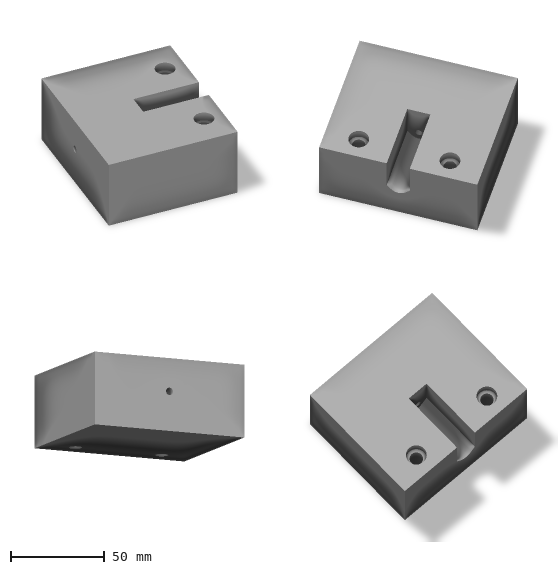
import cadquery as cq
import math

width = 88.0
depth = 75.25
height = 39.5

slot_width = 12.85
slot_length = 38.3
floor_radius = 5.2
flank_angle = math.radians(45)

bore_diameter = 4.05
bore_height = 21.5

hole_spacing = 50.8
hole_rear_offset = 11.35
hole_diameter = 7.1
counterbore_diameter = 11.1
counterbore_depth = 5.0


def make_slot():
    """Slot cutter whose floor arc is concentric with the bore and tangent to both flanks."""
    half_width = slot_width / 2
    tangent_x = floor_radius * math.sin(flank_angle)
    tangent_z = bore_height - floor_radius * math.cos(flank_angle)
    shoulder_z = tangent_z + (half_width - tangent_x) * math.tan(flank_angle)
    return (
        cq.Workplane("XZ", origin=(0, depth, 0))
        .moveTo(-half_width, height)
        .lineTo(-half_width, shoulder_z)
        .lineTo(-tangent_x, tangent_z)
        .threePointArc((0, bore_height - floor_radius), (tangent_x, tangent_z))
        .lineTo(half_width, shoulder_z)
        .lineTo(half_width, height)
        .close()
        .extrude(slot_length)
    )


def make_bore():
    """Horizontal bore cutter on the slot axis."""
    return (
        cq.Workplane("XZ", origin=(0, depth, bore_height))
        .circle(bore_diameter / 2)
        .extrude(depth)
    )


block = cq.Workplane("XY").box(width, depth, height, centered=(True, False, False))
block = block.cut(make_slot()).cut(make_bore())

hole_y = depth - hole_rear_offset
result = (
    block.faces(">Z")
    .workplane(origin=(0, 0, height))
    .pushPoints([(side * hole_spacing / 2, hole_y) for side in (-1, 1)])
    .cboreHole(hole_diameter, counterbore_diameter, counterbore_depth)
)